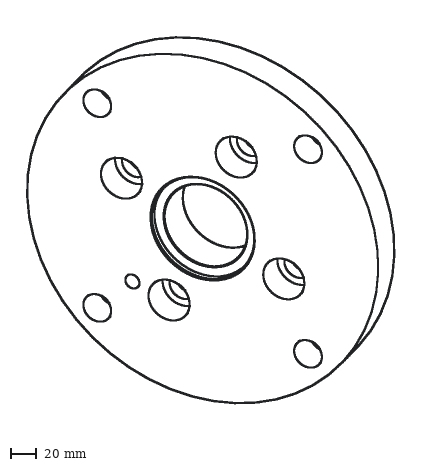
import cadquery as cq
import math

plate_diameter = 300.0
plate_thickness = 30.0

boss_diameter = 195.0
boss_height = 8.0
collar_diameter = 81.0
collar_height = 1.8
total_thickness = plate_thickness + boss_height + collar_height

bore_diameter = 70.5
bore_chamfer = 0.5
seat_diameter = 87.3
seat_depth = 5.5
seat_chamfer = 1.0

outer_hole_diameter = 23.7
outer_hole_offset = 90.0

inner_hole_count = 4
inner_hole_diameter = 23.0
inner_circle_radius = 75.0
inner_start_angle = 67.5
counterbore_diameter = 35.0
counterbore_depth = 26.0

pin_hole_diameter = 12.0
pin_hole_offset = 60.0


def disc(diameter, start, length, x=0.0, z=0.0):
    """Cylinder along +Y from Y = start, centred at (x, z)."""
    centre = cq.Vector(x, start, z)
    return cq.Workplane(cq.Solid.makeCylinder(diameter / 2, length, centre, cq.Vector(0, 1, 0)))


def mouth_chamfer(diameter, start, size):
    """Cone that bevels the front edge of a central hole."""
    radius = diameter / 2
    centre = cq.Vector(0, start, 0)
    return cq.Workplane(cq.Solid.makeCone(radius + size, radius, size, centre, cq.Vector(0, 1, 0)))


result = disc(plate_diameter, 0, plate_thickness)
result = result.union(disc(boss_diameter, plate_thickness, boss_height))
result = result.union(disc(collar_diameter, plate_thickness + boss_height, collar_height))

result = result.cut(disc(bore_diameter, 0, total_thickness))
result = result.cut(disc(seat_diameter, 0, seat_depth))
result = result.cut(mouth_chamfer(seat_diameter, 0, seat_chamfer))
result = result.cut(mouth_chamfer(bore_diameter, seat_depth, bore_chamfer))

for x_side in (-1, 1):
    for z_side in (-1, 1):
        x = x_side * outer_hole_offset
        z = z_side * outer_hole_offset
        result = result.cut(disc(outer_hole_diameter, 0, total_thickness, x, z))

for index in range(inner_hole_count):
    angle = math.radians(inner_start_angle + index * 360 / inner_hole_count)
    x = inner_circle_radius * math.cos(angle)
    z = inner_circle_radius * math.sin(angle)
    result = result.cut(disc(inner_hole_diameter, 0, total_thickness, x, z))
    result = result.cut(disc(counterbore_diameter, 0, counterbore_depth, x, z))

result = result.cut(disc(pin_hole_diameter, 0, total_thickness, -pin_hole_offset, -pin_hole_offset))